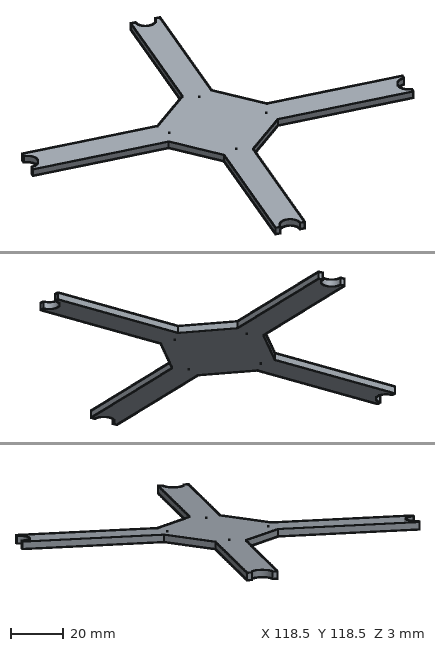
import cadquery as cq
import math

span = 118.5
thickness = 3.0
hub_side = 40.0
arm_width = 12.0
notch_radius = 4.0
pinhole_diameter = 0.2
pinhole_offset = 14.0

arm_reach = span / 2 * math.sqrt(2) - arm_width / 2
arm_angles = [45, 135, 225, 315]


def make_arm(angle):
    """Flat arm from the centre outwards, with a half-round notch at its tip."""
    arm = cq.Workplane("XY").box(arm_reach, arm_width, thickness, centered=(False, True, True))
    notch = (
        cq.Workplane("XY")
        .center(arm_reach, 0)
        .circle(notch_radius)
        .extrude(thickness, both=True)
    )
    return arm.cut(notch).rotate((0, 0, 0), (0, 0, 1), angle)


body = cq.Workplane("XY").box(hub_side, hub_side, thickness)
for arm_angle in arm_angles:
    body = body.union(make_arm(arm_angle))

pinholes = (
    cq.Workplane("XY")
    .rect(2 * pinhole_offset, 2 * pinhole_offset, forConstruction=True)
    .vertices()
    .circle(pinhole_diameter / 2)
    .extrude(thickness, both=True)
)

result = body.cut(pinholes)